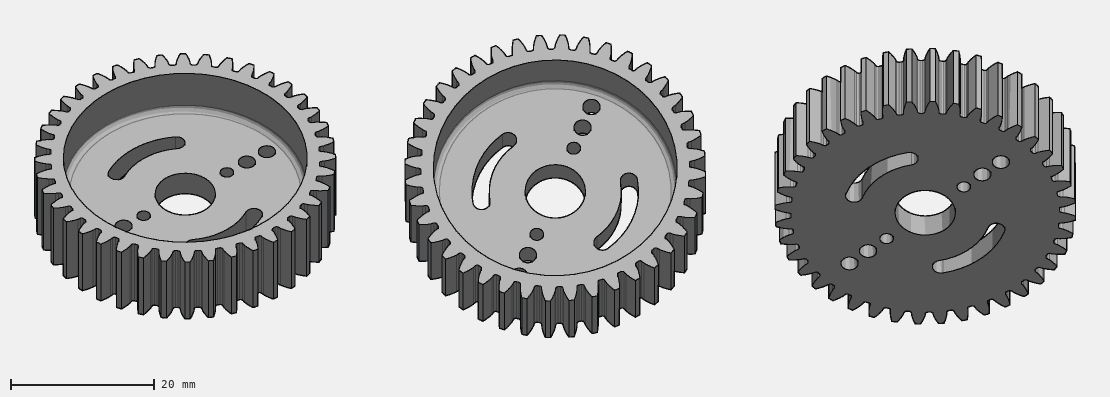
import cadquery as cq
import math

tooth_count = 40
pressure_angle = math.radians(20)
tip_radius = 21
addendum_factor = 1
dedendum_factor = 1.25
module = tip_radius / (tooth_count / 2 + addendum_factor)
pitch_radius = module * tooth_count / 2
base_radius = pitch_radius * math.cos(pressure_angle)
root_radius = pitch_radius - dedendum_factor * module
flank_start_radius = 19.45
root_fillet = 0.35
tooth_pitch_angle = 2 * math.pi / tooth_count

gear_width = 11.0
floor_thickness = 4.0
recess_diameter = 34
recess_fillet = 0.85
bore_diameter = 8.4

outer_hole_offset = 14.25
hole_spacing = 3.5
large_hole_diameter = 2.4
small_hole_diameter = 1.9
hole_row_diameters = [large_hole_diameter, large_hole_diameter, small_hole_diameter]

slot_radius = 10.4
slot_width = 2.4
slot_half_angle = math.radians(30)


def polar(radius, angle):
    return (radius * math.cos(angle), radius * math.sin(angle))


def involute(angle):
    return math.tan(angle) - angle


def half_tooth_angle(radius):
    """Half the angle a tooth spans at a radius on or outside the base circle."""
    half_angle_at_pitch = tooth_pitch_angle / 4
    return half_angle_at_pitch + involute(pressure_angle) - involute(math.acos(base_radius / radius))


def make_gear_blank():
    """Toothed disc; each flank is an involute-fitted arc above a straight foot."""
    middle_radius = (flank_start_radius + tip_radius) / 2
    root_half = half_tooth_angle(base_radius)
    start_half = half_tooth_angle(flank_start_radius)
    middle_half = half_tooth_angle(middle_radius)
    tip_half = half_tooth_angle(tip_radius)

    outline = cq.Workplane("XY").moveTo(*polar(root_radius, -root_half))
    for tooth in range(tooth_count):
        centre = tooth * tooth_pitch_angle
        gap_centre = centre + tooth_pitch_angle / 2
        next_root = centre + tooth_pitch_angle - root_half
        outline = (
            outline
            .lineTo(*polar(flank_start_radius, centre - start_half))
            .threePointArc(polar(middle_radius, centre - middle_half), polar(tip_radius, centre - tip_half))
            .threePointArc(polar(tip_radius, centre), polar(tip_radius, centre + tip_half))
            .threePointArc(
                polar(middle_radius, centre + middle_half),
                polar(flank_start_radius, centre + start_half),
            )
            .lineTo(*polar(root_radius, centre + root_half))
            .threePointArc(polar(root_radius, gap_centre), polar(root_radius, next_root))
        )
    blank = outline.close().extrude(gear_width)

    corner_edges = blank.edges("|Z").filter(
        lambda edge: math.hypot(edge.Center().x, edge.Center().y) < base_radius
    )
    return corner_edges.fillet(root_fillet)


def make_recess():
    """Round pocket above the floor, with a rounded lower rim."""
    recess_depth = gear_width - floor_thickness
    return (
        cq.Workplane("XY")
        .workplane(offset=floor_thickness)
        .circle(recess_diameter / 2)
        .extrude(recess_depth)
        .faces("<Z")
        .edges()
        .fillet(recess_fillet)
    )


def make_hole_rows():
    """Cutters for the three holes on each side of the bore."""
    cutters = cq.Workplane("XY")
    for index, diameter in enumerate(hole_row_diameters):
        offset = outer_hole_offset - index * hole_spacing
        centres = [(0, offset), (0, -offset)]
        holes = cq.Workplane("XY").pushPoints(centres).circle(diameter / 2).extrude(floor_thickness)
        cutters = cutters.union(holes)
    return cutters


def make_slot():
    """Cutter for the curved slot on the +X side, with round ends."""
    inner_radius = slot_radius - slot_width / 2
    outer_radius = slot_radius + slot_width / 2
    end_centre = polar(slot_radius, slot_half_angle)
    end_bulge = polar(slot_width / 2, slot_half_angle + math.pi / 2)
    end_tip = (end_centre[0] + end_bulge[0], end_centre[1] + end_bulge[1])
    return (
        cq.Workplane("XY")
        .moveTo(*polar(outer_radius, -slot_half_angle))
        .threePointArc((outer_radius, 0), polar(outer_radius, slot_half_angle))
        .threePointArc(end_tip, polar(inner_radius, slot_half_angle))
        .threePointArc((inner_radius, 0), polar(inner_radius, -slot_half_angle))
        .threePointArc((end_tip[0], -end_tip[1]), polar(outer_radius, -slot_half_angle))
        .close()
        .extrude(floor_thickness)
    )


bore = cq.Workplane("XY").circle(bore_diameter / 2).extrude(floor_thickness)
slot = make_slot()
opposite_slot = slot.mirror("YZ")

result = (
    make_gear_blank()
    .cut(make_recess())
    .cut(bore)
    .cut(make_hole_rows())
    .cut(slot)
    .cut(opposite_slot)
)